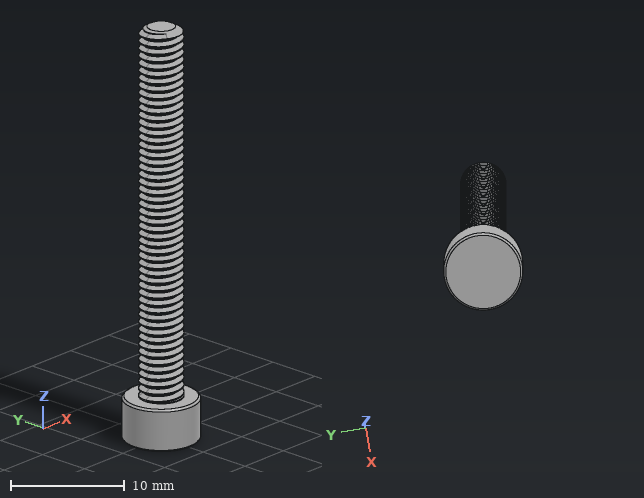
import cadquery as cq
import math

total_height = 39.0
head_diameter = 7.0
head_height = 4.0
head_chamfer = 0.2

thread_diameter = 4.0
root_diameter = 3.1
thread_turns = 50
flank_angle = 30.0
crest_width = 0.085
crest_offset = 0.1

tip_diameter = 2.55
tip_angle = 30.0
collar_rim = 0.08

shank_length = total_height - head_height
pitch = shank_length / thread_turns
crest_radius = thread_diameter / 2
root_radius = root_diameter / 2
tip_radius = tip_diameter / 2
flank_height = (crest_radius - root_radius) * math.tan(math.radians(flank_angle))
base_level = head_height / 2
trim_clearance = 0.4
spare_turns = 2


def make_thread_rod():
    """Solid threaded rod that runs past the shank at both ends.

    The skin is made turn by turn from helical strips.  Each end is closed by
    a helicoid reaching to the axis and by one flat radial face.
    """
    turns = thread_turns + spare_turns
    start = head_height + crest_offset - pitch
    half_crest = crest_width / 2
    half_base = half_crest + flank_height
    profile = [
        (root_radius, -half_base),
        (crest_radius, -half_crest),
        (crest_radius, half_crest),
        (root_radius, half_base),
        (root_radius, pitch - half_base),
    ]

    def helix(radius, height):
        turn = cq.Wire.makeHelix(pitch, pitch, radius).Edges()[0]
        return turn.translate(cq.Vector(0, 0, height))

    def strip(lower, upper):
        return cq.Face.makeRuledSurface(helix(*lower), helix(*upper))

    def end_faces(level):
        bottom = level - half_base
        axis = cq.Edge.makeLine(cq.Vector(0, 0, bottom), cq.Vector(0, 0, bottom + pitch))
        helicoid = cq.Face.makeRuledSurface(axis, helix(root_radius, bottom))
        corners = [(0, bottom)]
        corners += [(radius, level + height) for radius, height in profile]
        corners += [(0, bottom + pitch)]
        outline = cq.Wire.makePolygon([cq.Vector(x, 0, z) for x, z in corners], close=True)
        return [helicoid, cq.Face.makeFromWires(outline)]

    faces = end_faces(0) + end_faces(turns * pitch)
    for turn in range(turns):
        ring = [(radius, turn * pitch + height) for radius, height in profile]
        faces += [strip(lower, upper) for lower, upper in zip(ring, ring[1:])]
    rod = cq.Workplane(cq.Solid.makeSolid(cq.Shell.makeShell(faces)))
    return rod.rotate((0, 0, 0), (0, 0, 1), 180).translate((0, 0, start))


def make_shank():
    """Threaded rod trimmed to the conical tip; its lower end is buried in the head."""
    outer_radius = crest_radius + trim_clearance
    tip_drop = (outer_radius - tip_radius) * math.tan(math.radians(tip_angle))
    envelope = (
        cq.Workplane("XZ")
        .polyline([
            (0, base_level),
            (outer_radius, base_level),
            (outer_radius, total_height - tip_drop),
            (tip_radius, total_height),
            (0, total_height),
        ])
        .close()
        .revolve(360, (0, 0), (0, 1))
    )
    return make_thread_rod().intersect(envelope)


def make_head():
    disc = cq.Workplane("XY").circle(head_diameter / 2).extrude(head_height)
    return disc.edges().chamfer(head_chamfer)


def make_collar():
    """Rim at the foot of the shank, tapering to the root at the flank angle."""
    rim_top = head_height + collar_rim
    collar_top = rim_top + flank_height
    return (
        cq.Workplane("XZ")
        .polyline([
            (0, base_level),
            (crest_radius, base_level),
            (crest_radius, rim_top),
            (root_radius, collar_top),
            (0, collar_top),
        ])
        .close()
        .revolve(360, (0, 0), (0, 1))
    )


result = make_head().union(make_collar()).union(make_shank())